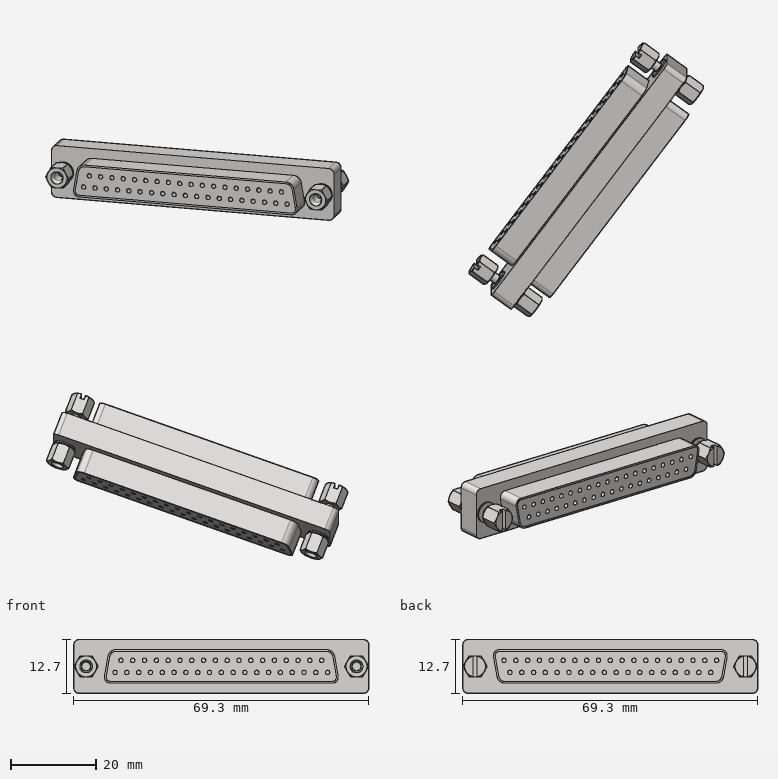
import cadquery as cq
import math


flange_length = 69.35
flange_height = 12.7
flange_thickness = 5.75
flange_corner_radius = 1.3
flange_face = flange_thickness / 2

shell_height = 7.9
shell_wide_width = 55.5
shell_side_angle = 10.0
shell_projection = 5.95
shell_wall = 0.4
wide_corner_radius = 1.45
narrow_corner_radius = 1.95
shell_face = flange_face + shell_projection

contact_diameter = 1.05
contact_depth = 4.15
contact_pitch = 2.8
contact_row_spacing = 2.85
wide_row_count = 19
narrow_row_count = wide_row_count - 1

hex_across_flats = 4.9
hex_across_corners = hex_across_flats / math.cos(math.radians(30))
hex_chamfer_rise = 0.3
hex_chamfer_run = (hex_across_corners - hex_across_flats) / 2

hardware_x = 31.75
boss_diameter = 5.0
boss_height = 0.35
boss_face = flange_face + boss_height

nut_projection = 5.2
nut_collar_length = 0.2
nut_length = nut_projection - boss_height
nut_hex_length = nut_length - nut_collar_length
nut_end = flange_face + nut_projection
nut_mouth_diameter = 3.0
nut_mouth_depth = 1.4
nut_bore_diameter = 2.1

screw_projection = 6.8
screw_head_length = 4.8
screw_end = flange_face + screw_projection
shank_diameter = 2.2
shank_length = screw_projection - screw_head_length + flange_thickness + boss_height
slot_width = 1.0
slot_depth = 1.1


def facing_front(x, y):
    """Workplane at (x, y) that faces -Y, with local X and Y along the part's X and Z."""
    return cq.Workplane("XZ", origin=(x, y, 0))


def cylinder(x, y, diameter, length):
    """Round bar that starts at y and runs toward -Y."""
    return facing_front(x, y).circle(diameter / 2).extrude(length)


def turned_to_rear(body):
    """Half turn about X, which takes a front feature to the rear."""
    return body.rotate((0, 0, 0), (1, 0, 0), 180)


def d_prism(inset):
    """D-shaped prism from the middle of the flange to the front shell face, wide edge down."""
    side_angle = math.radians(shell_side_angle)
    lean = math.tan(side_angle)
    middle = (shell_wide_width - shell_height * lean) / 2 - inset / math.cos(side_angle)
    half_height = shell_height / 2 - inset
    wide = middle + half_height * lean
    narrow = middle - half_height * lean
    corners = [
        (-wide, -half_height),
        (wide, -half_height),
        (narrow, half_height),
        (-narrow, half_height),
    ]
    prism = facing_front(0, 0).polyline(corners).close().extrude(shell_face)
    prism = prism.edges("|Y and <Z").fillet(wide_corner_radius - inset)
    return prism.edges("|Y and >Z").fillet(narrow_corner_radius - inset)


def hex_bar(x, y, length):
    """Hexagonal bar from y toward -Y, with the corners turned down at both ends."""
    bar = facing_front(x, y).polygon(6, hex_across_corners).extrude(length)
    turned = cylinder(x, y, hex_across_corners, length)
    turned = turned.faces("<Y or >Y").chamfer(hex_chamfer_rise, hex_chamfer_run)
    return bar.intersect(turned)


def make_housing():
    """Flange with both shells, their insert cavities and the drilled bosses."""
    body = facing_front(0, flange_face).rect(flange_length, flange_height).extrude(flange_thickness)
    body = body.edges("|Y").fillet(flange_corner_radius)

    shell = d_prism(0)
    cavity = d_prism(shell_wall)
    body = body.union(shell).union(turned_to_rear(shell))
    body = body.cut(cavity).cut(turned_to_rear(cavity))

    for side in (-1, 1):
        x = side * hardware_x
        body = body.union(cylinder(x, boss_face, boss_diameter, 2 * boss_face))
        body = body.cut(cylinder(x, boss_face, shank_diameter, 2 * boss_face))
    return body


def make_insert():
    """Insulator that fills the front shell, with two staggered rows of contact holes."""
    body = d_prism(shell_wall)
    rows = [
        (wide_row_count, -contact_row_spacing / 2),
        (narrow_row_count, contact_row_spacing / 2),
    ]
    for count, z in rows:
        holes = (
            facing_front(0, -shell_face + contact_depth)
            .center(0, z)
            .rarray(contact_pitch, 0.7, count, 1)
            .circle(contact_diameter / 2)
            .extrude(contact_depth)
        )
        body = body.cut(holes)
    return body


def make_nut(x):
    """Hex nut with a round seating collar and a through bore that flares at the mouth."""
    body = hex_bar(x, nut_hex_length - nut_end, nut_hex_length)
    body = body.union(cylinder(x, -boss_face, boss_diameter, nut_collar_length))
    body = body.cut(cylinder(x, -boss_face, nut_bore_diameter, nut_length))
    mouth = cq.Solid.makeCone(
        nut_mouth_diameter / 2,
        nut_bore_diameter / 2,
        nut_mouth_depth,
        cq.Vector(x, -nut_end, 0),
        cq.Vector(0, 1, 0),
    )
    return body.cut(cq.Workplane(mouth))


def make_screw(x):
    """Jackscrew with a slotted hex head and a shank that reaches the back of the nut."""
    head = hex_bar(x, screw_end, screw_head_length)
    slot = facing_front(x, screw_end).rect(slot_width, hex_across_corners).extrude(slot_depth)
    shank = cylinder(x, screw_end - screw_head_length, shank_diameter, shank_length)
    return head.cut(slot).union(shank)


housing = make_housing()
front_insert = make_insert()
rear_insert = turned_to_rear(front_insert)
nuts = [make_nut(side * hardware_x) for side in (-1, 1)]
screws = [make_screw(side * hardware_x) for side in (-1, 1)]

result = cq.Compound.makeCompound([
    housing.solids().val(),
    front_insert.solids().val(),
    rear_insert.solids().val(),
    *[nut.solids().val() for nut in nuts],
    *[screw.solids().val() for screw in screws],
])